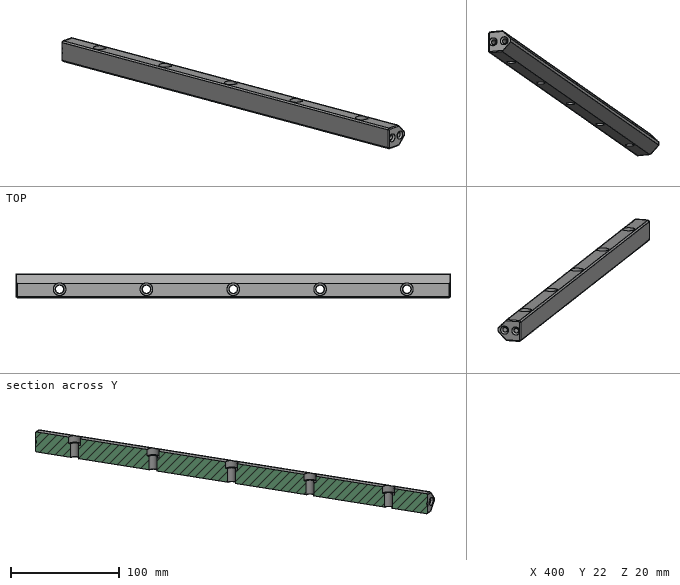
import cadquery as cq

length = 400.0
width = 22.0
height = 20.0
nose_flat = 3.0
nose_depth = (height - nose_flat) / 2
edge_chamfer = 1.4
end_chamfer = 1.0

mount_count = 5
mount_pitch = length / mount_count
mount_from_back = 8.0
mount_diameter = 7.5
counterbore_diameter = 11.5
counterbore_depth = 6.5

end_hole_from_nose = 6.5
end_hole_spacing = 11.0
end_hole_diameter = 4.5
end_sink_diameter = 7.5
end_hole_depth = 12.0
sink_angle = 90.0

nose_y = width / 2
back_y = -width / 2
top_z = height / 2
shoulder_y = nose_y - nose_depth


def make_body():
    """Pointed bar with bevelled back edges and bevelled end-face edges."""
    outline = [
        (back_y, -top_z),
        (shoulder_y, -top_z),
        (nose_y, -nose_flat / 2),
        (nose_y, nose_flat / 2),
        (shoulder_y, top_z),
        (back_y, top_z),
    ]
    bar = cq.Workplane("YZ").polyline(outline).close().extrude(length / 2, both=True)
    bar = bar.faces("<Y").edges("|X").chamfer(edge_chamfer)

    ends = bar.faces("<X or >X")
    return ends.edges(cq.selectors.BoxSelector(
        (-length, back_y - edge_chamfer, -height),
        (length, shoulder_y, height),
    )).chamfer(end_chamfer)


def add_mounting_holes(bar):
    first_x = -mount_pitch * (mount_count - 1) / 2
    points = [(first_x + i * mount_pitch, back_y + mount_from_back) for i in range(mount_count)]
    return (
        bar.faces(">Z")
        .workplane(origin=(0, 0, 0))
        .pushPoints(points)
        .cboreHole(mount_diameter, counterbore_diameter, counterbore_depth)
    )


def add_end_holes(bar):
    outer_y = nose_y - end_hole_from_nose
    for face, direction in (("<X", -1), (">X", 1)):
        points = [(direction * y, 0) for y in (outer_y, outer_y - end_hole_spacing)]
        bar = (
            bar.faces(face)
            .workplane(origin=(0, 0, 0))
            .pushPoints(points)
            .cskHole(end_hole_diameter, end_sink_diameter, sink_angle, end_hole_depth)
        )
    return bar


result = add_end_holes(add_mounting_holes(make_body()))